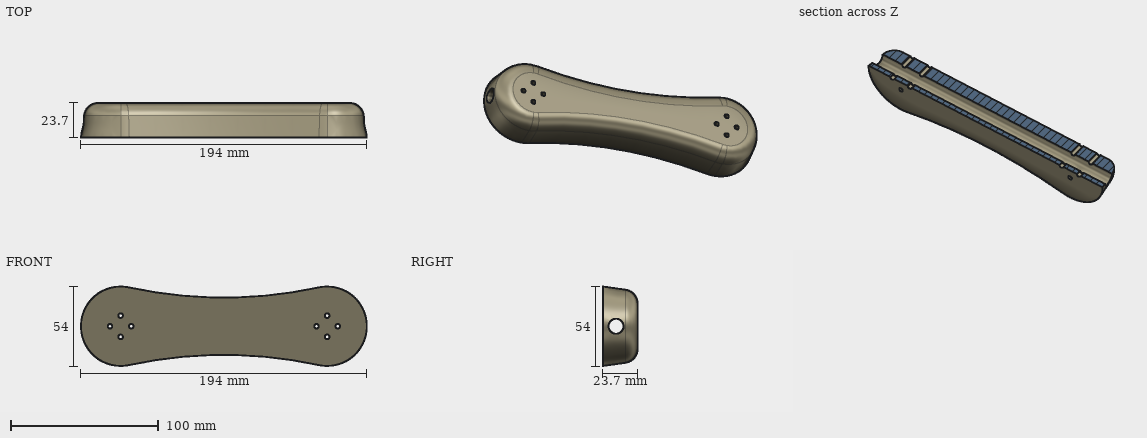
import cadquery as cq
import math

LENGTH = 194.0
END_RADIUS = 27.0
WAIST_HALF_WIDTH = 19.5
DEPTH = 23.7
DRAFT_ANGLE = 8.0
BACK_FILLET = 10.0

BORE_DIAMETER = 10.0
BORE_FROM_FRONT = 8.9

SCREW_COUNT = 4
SCREW_DIAMETER = 3.0
SCREW_CIRCLE_RADIUS = 7.2

END_CENTER_X = LENGTH / 2 - END_RADIUS
WAIST_RADIUS = (END_CENTER_X**2 + WAIST_HALF_WIDTH**2 - END_RADIUS**2) / (
    2 * (END_RADIUS - WAIST_HALF_WIDTH)
)
TANGENT_ANGLE = math.asin(END_CENTER_X / (WAIST_RADIUS + END_RADIUS))


def end_point(side, angle):
    """Point on an end circle, the angle measured from +Z toward mid length."""
    x = side * (END_CENTER_X - END_RADIUS * math.sin(angle))
    return (x, END_RADIUS * math.cos(angle))


def mirrored(point):
    """The point reflected across the lengthwise center line."""
    return (point[0], -point[1])


def make_body():
    """Drafted dog-bone block with a rounded back edge."""
    left_tangent = end_point(-1, TANGENT_ANGLE)
    left_blend = end_point(-1, TANGENT_ANGLE / 2)
    left_crown = end_point(-1, 0)
    right_tangent = end_point(1, TANGENT_ANGLE)
    right_blend = end_point(1, TANGENT_ANGLE / 2)
    right_crown = end_point(1, 0)
    outline = (
        cq.Workplane("XZ")
        .moveTo(*left_tangent)
        .threePointArc((0, WAIST_HALF_WIDTH), right_tangent)
        .threePointArc(right_blend, right_crown)
        .threePointArc((LENGTH / 2, 0), mirrored(right_crown))
        .threePointArc(mirrored(right_blend), mirrored(right_tangent))
        .threePointArc((0, -WAIST_HALF_WIDTH), mirrored(left_tangent))
        .threePointArc(mirrored(left_blend), mirrored(left_crown))
        .threePointArc((-LENGTH / 2, 0), left_crown)
        .threePointArc(left_blend, left_tangent)
        .close()
    )
    body = outline.extrude(-DEPTH, taper=DRAFT_ANGLE)
    return body.faces(">Y").edges().fillet(BACK_FILLET)


def make_bore():
    """Cylinder along X for the lengthwise bore."""
    return (
        cq.Workplane("YZ", origin=(-LENGTH / 2, BORE_FROM_FRONT, 0))
        .circle(BORE_DIAMETER / 2)
        .extrude(LENGTH)
    )


def make_screw_holes(center_x):
    """Ring of cylinders along Y around one end center."""
    return (
        cq.Workplane("XZ", origin=(center_x, 0, 0))
        .polarArray(SCREW_CIRCLE_RADIUS, 0, 360, SCREW_COUNT)
        .circle(SCREW_DIAMETER / 2)
        .extrude(-DEPTH)
    )


result = make_body().cut(make_bore())
for end_x in (-END_CENTER_X, END_CENTER_X):
    result = result.cut(make_screw_holes(end_x))